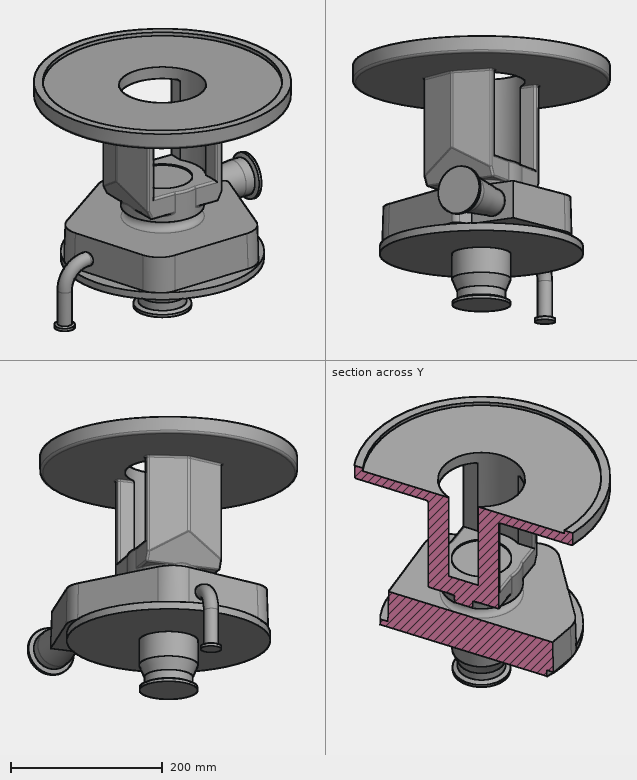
import cadquery as cq


flange_radius = 170.0
flange_top = 245.3
flange_thickness = 22.0
flange_bottom = flange_top - flange_thickness
flange_edge_fillet = 3.5
recess_radius = 158.0
recess_depth = 5.0
bore_radius = 57.5

yoke_half_width = 52.5
yoke_corner_y = 59.5
yoke_ridge_y = 75.0
yoke_bottom = 77.8
yoke_bottom_y = 53.5
yoke_slope_top = 120.0
yoke_ridge_fillet = 7.0
yoke_edge_fillet = 2.7
window_half_width = 49.2
window_bottom = 108.1
window_edge_fillet = 2.8
column_top_fillet = 2.5
ridge_inner_y = yoke_ridge_y - 2.0
edge_margin = 0.1

hub_radius = 55.0
hub_bottom = 66.1
hub_fillet = 3.0
hub_recess_radius = 39.5
hub_recess_depth = 2.0
neck_radius = 45.0
neck_flare = 10.0

casing_height = 50.8
casing_draft = 1.5
casing_fillet = 35.0
casing_foot_outline = [
    (-122.5, 115.5),
    (-142.0, 0.0),
    (-44.5, -135.0),
    (116.0, -86.5),
    (111.0, 84.0),
    (-45.0, 137.0),
    (-58.0, 116.0),
]
casing_round_corners = (1, 2, 3, 4)
casing_lug_fillet = 8.0
casing_lug_corner = 5

plate_radius = 134.4
plate_thickness = 10.2

ferrule_rim = 4.0

suction_radius = 39.0
suction_cone_top = -44.2
suction_cone_bottom = -60.9
suction_end = -79.2
suction_end_radius = 32.0
suction_ferrule_radius = 38.4
suction_ferrule_height = 7.0

discharge_x = -90.7
discharge_z = 24.9
discharge_root_y = 105.0
discharge_cone_start_y = 118.8
discharge_cone_end_y = 179.0
discharge_end_y = 200.0
discharge_root_radius = 18.7
discharge_radius = 25.8
discharge_ferrule_radius = 32.0
discharge_ferrule_height = 6.5

drain_radius = 9.8
drain_z = 19.3
drain_y = -157.0
drain_bend_radius = 35.5
drain_root_y = -100.0
drain_end = -70.2
drain_ferrule_radius = 13.7
drain_ferrule_height = 5.5


def cylinder(radius, bottom, top):
    return cq.Workplane("XY").workplane(offset=bottom).circle(radius).extrude(top - bottom)


def port_profile(points, end, end_radius, rim_radius, ferrule_height):
    """Half section (radius, distance) of a pipe along +distance that ends in a clamp ferrule."""
    return [(0, points[0][1])] + points + [
        (end_radius, end - ferrule_height),
        (rim_radius, end - ferrule_rim),
        (rim_radius, end),
        (0, end),
    ]


def turned(profile):
    """Solid of revolution about Z from a half section."""
    return cq.Workplane("XZ").polyline(profile).close().revolve(360, (0, 0, 0), (0, 1, 0))


def make_flange():
    """Round mounting plate with a shallow recess in its top face."""
    flange = cylinder(flange_radius, flange_bottom, flange_top)
    flange = flange.faces("<Z").edges().fillet(flange_edge_fillet)
    return flange.cut(cylinder(recess_radius, flange_top - recess_depth, flange_top))


def edges_within(bottom, top, half_width, half_depth):
    """Selector for the edges that lie whole inside a box centred on the shaft axis."""
    return cq.selectors.BoxSelector(
        (-half_width - edge_margin, -half_depth - edge_margin, bottom - edge_margin),
        (half_width + edge_margin, half_depth + edge_margin, top + edge_margin),
        boundingbox=True,
    )


def make_yoke():
    """Six-sided column block whose two ridges slope in towards the hub at the bottom."""
    plan = [
        (yoke_half_width, -yoke_corner_y),
        (yoke_half_width, yoke_corner_y),
        (0, yoke_ridge_y),
        (-yoke_half_width, yoke_corner_y),
        (-yoke_half_width, -yoke_corner_y),
        (0, -yoke_ridge_y),
    ]
    prism = cq.Workplane("XY").workplane(offset=yoke_bottom).polyline(plan).close()
    prism = prism.extrude(flange_bottom - yoke_bottom)
    prism = prism.edges("|Z").edges("<Y or >Y").fillet(yoke_ridge_fillet)
    side_outline = [
        (-yoke_bottom_y, yoke_bottom),
        (yoke_bottom_y, yoke_bottom),
        (yoke_ridge_y, yoke_slope_top),
        (yoke_ridge_y, flange_bottom),
        (-yoke_ridge_y, flange_bottom),
        (-yoke_ridge_y, yoke_slope_top),
    ]
    taper = cq.Workplane("YZ").polyline(side_outline).close().extrude(yoke_half_width, both=True)
    yoke = prism.intersect(taper)
    corner_edges = yoke.edges(
        cq.selectors.BoxSelector(
            (-flange_radius, -ridge_inner_y, yoke_bottom - edge_margin),
            (flange_radius, ridge_inner_y, flange_bottom - edge_margin),
        )
    )
    return corner_edges.fillet(yoke_edge_fillet)


def round_casing_corner(casing, corner, radius):
    x, y = casing_foot_outline[corner]
    upright_edge = cq.selectors.NearestToPointSelector((x, y, casing_height / 2))
    return casing.edges(upright_edge).fillet(radius)


def make_casing():
    """Drafted volute body with a sharp step beside the discharge port."""
    casing = cq.Workplane("XY").polyline(casing_foot_outline).close()
    casing = casing.extrude(casing_height, taper=casing_draft)
    for corner in casing_round_corners:
        casing = round_casing_corner(casing, corner, casing_fillet)
    return round_casing_corner(casing, casing_lug_corner, casing_lug_fillet)


def make_neck():
    """Round neck that flares out onto the casing top."""
    return (
        cq.Workplane("XZ")
        .moveTo(0, casing_height)
        .lineTo(neck_radius + neck_flare, casing_height)
        .radiusArc((neck_radius, casing_height + neck_flare), neck_flare)
        .lineTo(neck_radius, hub_bottom)
        .lineTo(0, hub_bottom)
        .close()
        .revolve(360, (0, 0, 0), (0, 1, 0))
    )


def make_suction():
    """Pipe straight down from the base plate, narrowing to its ferrule."""
    pipe = [
        (suction_radius, 0),
        (suction_radius, -suction_cone_top),
        (suction_end_radius, -suction_cone_bottom),
    ]
    profile = port_profile(
        pipe, -suction_end, suction_end_radius, suction_ferrule_radius, suction_ferrule_height
    )
    return turned(profile).rotate((0, 0, 0), (1, 0, 0), 180)


def make_discharge():
    """Widening pipe along +Y."""
    pipe = [
        (discharge_root_radius, discharge_root_y),
        (discharge_root_radius, discharge_cone_start_y),
        (discharge_radius, discharge_cone_end_y),
    ]
    profile = port_profile(
        pipe, discharge_end_y, discharge_radius, discharge_ferrule_radius, discharge_ferrule_height
    )
    port = turned(profile).rotate((0, 0, 0), (1, 0, 0), -90)
    return port.translate((discharge_x, 0, discharge_z))


def make_drain():
    """Pipe that leaves the casing along -Y and bends down to a ferrule."""
    bend_start_y = drain_y + drain_bend_radius
    bend_end_z = drain_z - drain_bend_radius
    path = (
        cq.Workplane("YZ")
        .moveTo(drain_root_y, drain_z)
        .lineTo(bend_start_y, drain_z)
        .radiusArc((drain_y, bend_end_z), -drain_bend_radius)
    )
    bend = cq.Workplane("XZ", origin=(0, drain_root_y, drain_z)).circle(drain_radius).sweep(path)
    profile = port_profile(
        [(drain_radius, -bend_end_z)],
        -drain_end, drain_radius, drain_ferrule_radius, drain_ferrule_height,
    )
    leg = turned(profile).rotate((0, 0, 0), (1, 0, 0), 180).translate((0, drain_y, 0))
    return bend.union(leg)


def make_frame():
    """Yoke, hub and flange as one casting, with the window and the central bore cut out."""
    hub = cylinder(hub_radius, hub_bottom, window_bottom)
    frame = make_yoke().union(hub)
    hub_joint = edges_within(yoke_bottom, yoke_bottom, hub_radius, hub_radius)
    frame = frame.edges(hub_joint).edges("%CIRCLE").fillet(hub_fillet)

    window = (
        cq.Workplane("XY", origin=(0, 0, window_bottom))
        .rect(2 * flange_radius, 2 * window_half_width)
        .extrude(flange_bottom - window_bottom)
    )
    frame = frame.cut(window)
    window_rim = cq.selectors.BoxSelector(
        (-flange_radius, -window_half_width - edge_margin, window_bottom - edge_margin),
        (flange_radius, window_half_width + edge_margin, flange_bottom - edge_margin),
    )
    frame = frame.edges(window_rim).edges("not(|X)").fillet(window_edge_fillet)

    frame = frame.union(make_flange())
    column_tops = edges_within(flange_bottom, flange_bottom, yoke_half_width, yoke_ridge_y)
    frame = frame.edges(column_tops).fillet(column_top_fillet)

    frame = frame.cut(cylinder(bore_radius, window_bottom, flange_top))
    return frame.cut(cylinder(hub_recess_radius, window_bottom - hub_recess_depth, window_bottom))


result = (
    make_casing()
    .union(cylinder(plate_radius, -plate_thickness, 0))
    .union(make_neck())
    .union(make_frame())
    .union(make_suction())
    .union(make_discharge())
    .union(make_drain())
)